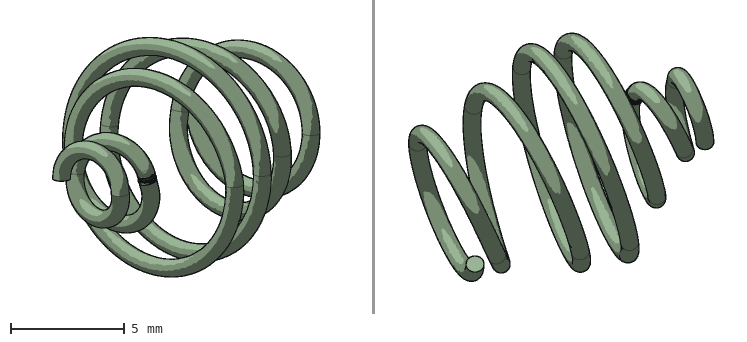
import cadquery as cq
import math

length = 12.51
wire_diameter = 0.8
small_end_radius = 1.64
body_radius = 4.93
large_end_radius = 3.25
body_pitch = 2.0
flat_pitch = 0.0
flat_turns = 0.5
small_turns = 1.0
flare_turns = 1.0
body_turns = 1.0
taper_turns = 1.5
closing_turns = 0.5
points_per_turn = 24

wire_radius = wire_diameter / 2
start_y = wire_radius - length / 2

even_turns = small_turns + flare_turns + body_turns
uneven_rise = length - wire_diameter - body_pitch * even_turns
open_pitch = (2 * uneven_rise - body_pitch * taper_turns) / (taper_turns + closing_turns)

spans = [
    (flat_turns, flat_pitch, flat_pitch, small_end_radius, small_end_radius),
    (small_turns, body_pitch, body_pitch, small_end_radius, small_end_radius),
    (flare_turns, body_pitch, body_pitch, small_end_radius, body_radius),
    (body_turns, body_pitch, body_pitch, body_radius, body_radius),
    (taper_turns, body_pitch, open_pitch, body_radius, large_end_radius),
    (closing_turns, open_pitch, flat_pitch, large_end_radius, large_end_radius),
    (flat_turns, flat_pitch, flat_pitch, large_end_radius, large_end_radius),
]


def span_rise(span, turned):
    """Advance along Y after part of a span whose pitch varies linearly."""
    turns, first_pitch, last_pitch, _, _ = span
    return first_pitch * turned + (last_pitch - first_pitch) * turned**2 / (2 * turns)


def coil_point(radius, turn, y):
    """Point on the coil, starting at -X and passing over +Z to +X."""
    angle = math.pi - 2 * math.pi * turn
    return cq.Vector(radius * math.cos(angle), y, radius * math.sin(angle))


def span_points(span, first_turn, first_y):
    """Points along one span, with the radius changing in proportion to the rise."""
    turns, _, _, first_radius, last_radius = span
    total_rise = span_rise(span, turns)
    steps = round(turns * points_per_turn)
    points = []
    for step in range(steps):
        turned = turns * step / steps
        rise = span_rise(span, turned)
        radius = first_radius
        if total_rise > 0:
            radius += (last_radius - first_radius) * rise / total_rise
        points.append(coil_point(radius, first_turn + turned, first_y + rise))
    return points


def coil_points():
    """Points along the whole centre line."""
    points = []
    turn = 0
    y = start_y
    for span in spans:
        points += span_points(span, turn, y)
        turn += span[0]
        y += span_rise(span, span[0])
    points.append(coil_point(large_end_radius, turn, y))
    return points


def coil_path(points):
    """Centre line of half-turn curves that share a tangent where they meet."""
    last = len(points) - 1
    half_turn = points_per_turn // 2
    joints = range(0, last + 1, half_turn)
    tangents = [cq.Vector(0, 0, 2 * math.pi * small_end_radius)]
    tangents += [(points[i + 1] - points[i - 1]) * (points_per_turn / 2) for i in joints[1:-1]]
    tangents.append(cq.Vector(0, 0, 2 * math.pi * large_end_radius))
    turns = [step / points_per_turn for step in range(half_turn + 1)]
    edges = []
    for index, first in enumerate(joints[:-1]):
        edge_points = points[first : first + half_turn + 1]
        edge_tangents = tangents[index : index + 2]
        edges.append(
            cq.Edge.makeSpline(edge_points, tangents=edge_tangents, parameters=turns, scale=False)
        )
    return cq.Wire.assembleEdges(edges)


result = (
    cq.Workplane("XY")
    .center(-small_end_radius, start_y)
    .circle(wire_radius)
    .sweep(cq.Workplane(coil_path(coil_points())))
)